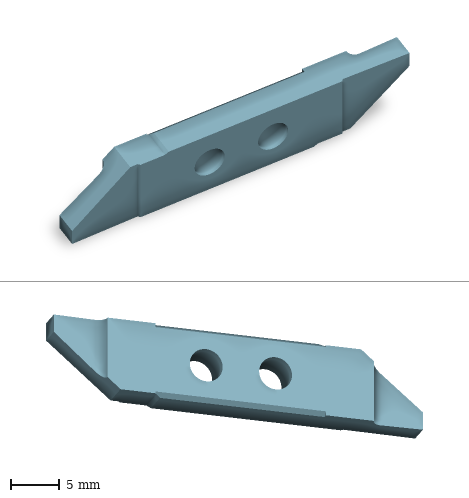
import cadquery as cq
import math

LENGTH = 40.0
THICKNESS = 3.6
HEIGHT = 8.0
HALF_LENGTH = LENGTH / 2
HALF_THICKNESS = THICKNESS / 2
HALF_HEIGHT = HEIGHT / 2

TIP_HEIGHT = 1.9
TIP_ANGLE = 40.0
STEP_DEPTH = 0.25
STEP_START = 8.6
STEP_END = 9.1

TIP_RELIEF = 0.85
ROOT_RELIEF = 1.0
SHOULDER_START = 14.45
SHOULDER_RADIUS = ROOT_RELIEF

BACK_TIP_RELIEF = 0.1
BACK_ROOT_RELIEF = 0.25
BACK_START = 11.95
BACK_RAMP = 0.2

BEVEL_WIDTH = 0.5
BEVEL_HEIGHT = 0.45
BEVEL_END = 9.25
HOLE_DIAMETER = 3.55
HOLE_SPACING = 7.5


def make_side_plate():
    """Plate with stepped long edges and sloped ends, extruded through the thickness."""
    step_z = HALF_HEIGHT - STEP_DEPTH
    tip_z = TIP_HEIGHT - HALF_HEIGHT
    slope_y = HALF_LENGTH - (step_z - tip_z) / math.tan(math.radians(TIP_ANGLE))
    half_outline = [
        (HALF_LENGTH, HALF_HEIGHT),
        (-STEP_START, HALF_HEIGHT),
        (-STEP_END, step_z),
        (-slope_y, step_z),
        (-HALF_LENGTH, tip_z),
    ]
    opposite_half = [(-y, -z) for y, z in half_outline]
    outline = half_outline + opposite_half
    return (
        cq.Workplane("YZ", origin=(-HALF_THICKNESS, 0, 0))
        .polyline(outline)
        .close()
        .extrude(THICKNESS)
    )


def make_tip_reliefs():
    """Material removed from both X faces of the tip at the +Y end."""
    shoulder_end = SHOULDER_START + SHOULDER_RADIUS
    arc_offset = SHOULDER_RADIUS * math.sqrt(0.5)
    plane = cq.Workplane("XY", origin=(0, 0, -HALF_HEIGHT))
    front = (
        plane.moveTo(-HALF_THICKNESS, SHOULDER_START)
        .threePointArc(
            (-HALF_THICKNESS + arc_offset, shoulder_end - arc_offset),
            (-HALF_THICKNESS + ROOT_RELIEF, shoulder_end),
        )
        .lineTo(-HALF_THICKNESS + TIP_RELIEF, HALF_LENGTH)
        .lineTo(-HALF_THICKNESS, HALF_LENGTH)
        .close()
        .extrude(HEIGHT)
    )
    back = (
        plane.moveTo(HALF_THICKNESS, BACK_START)
        .lineTo(HALF_THICKNESS - BACK_ROOT_RELIEF, BACK_START + BACK_RAMP)
        .lineTo(HALF_THICKNESS - BACK_TIP_RELIEF, HALF_LENGTH)
        .lineTo(HALF_THICKNESS, HALF_LENGTH)
        .close()
        .extrude(HEIGHT)
    )
    return front.union(back)


def make_edge_bevel():
    """Triangular bar removed from the upper edge of the -X face."""
    return (
        cq.Workplane("XZ", origin=(0, BEVEL_END, 0))
        .moveTo(-HALF_THICKNESS, HALF_HEIGHT)
        .lineTo(-HALF_THICKNESS + BEVEL_WIDTH, HALF_HEIGHT)
        .lineTo(-HALF_THICKNESS, HALF_HEIGHT - BEVEL_HEIGHT)
        .close()
        .extrude(2 * BEVEL_END)
    )


def make_holes():
    """Pair of mounting holes running through the thickness."""
    return (
        cq.Workplane("YZ", origin=(-HALF_THICKNESS, 0, 0))
        .pushPoints([(-HOLE_SPACING / 2, 0), (HOLE_SPACING / 2, 0)])
        .circle(HOLE_DIAMETER / 2)
        .extrude(THICKNESS)
    )


result = make_side_plate().cut(make_holes())
for cutter in (make_tip_reliefs(), make_edge_bevel()):
    result = result.cut(cutter)
    result = result.cut(cutter.rotate((0, 0, 0), (1, 0, 0), 180))